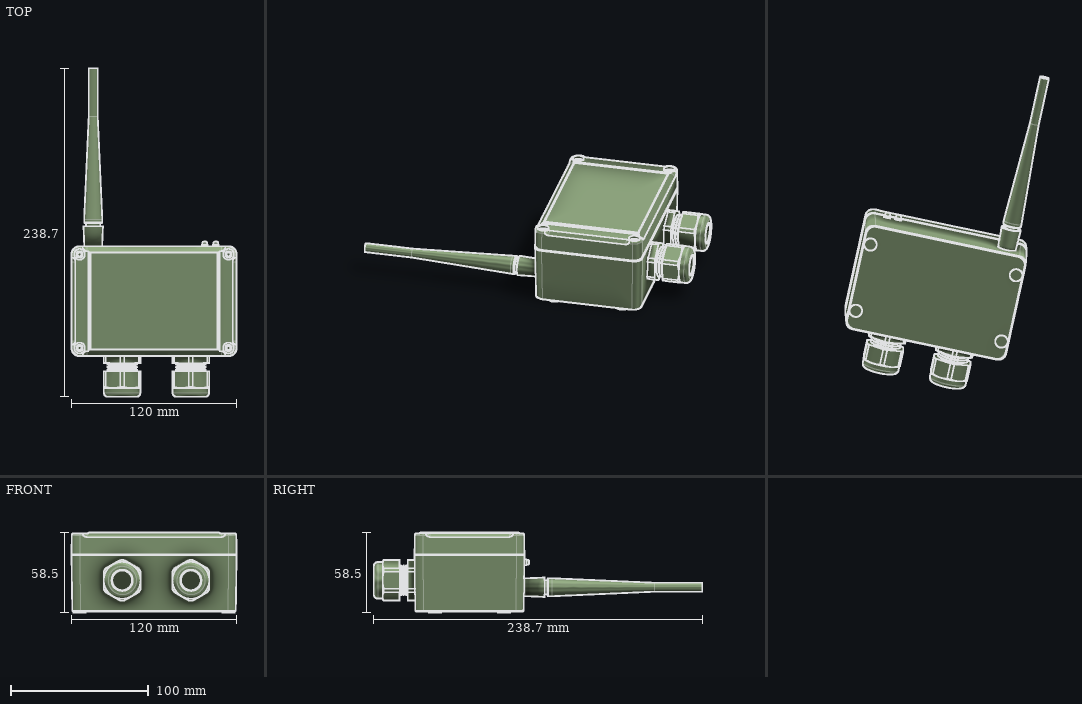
import cadquery as cq
import math

box_x = 120.0
box_y = 80.0
corner_radius = 6.0
draft_angle = 0.85
draft = math.tan(math.radians(draft_angle))

total_height = 58.5
foot_height = 1.0
joint_z = 42.5
shoulder_z = 57.8
joint_groove_height = 0.7
joint_groove_depth = 0.35
bottom_chamfer = 0.7
top_edge_fillet = 1.5

foot_diameter = 9.0
foot_inset_x = 6.0
foot_inset_y = 14.8

bevel_foot_z = 55.0
long_bevel_inset = 4.5
side_bevel_inset = 2.98
bevel_end_inset = 7.5
bevel_end_radius = 3.8

panel_inset_x = 12.2
panel_edge_slant = 0.7
label_inset_x = 14.0
label_inset_y = 5.0
label_depth = 0.35

screw_inset = 6.0
screw_well_steps = ((7.9, 2.5), (4.8, 3.5), (2.9, 4.8))

seat_depth = 1.5

gland_z = 23.6
gland_xs = (-23.2, 26.7)
gland_flats = 27.0
gland_corner_diameter = 29.5
flange_end = 5.0
nut_start = 10.7
nut_end = 23.2
gland_length = 29.5
nut_chamfer = 0.84
dome_diameter = 26.7
dome_fillet = 3.0
thread_core_diameter = 18.1
thread_diameter = 22.0
thread_count = 3
bore_diameter = 14.3
bore_chamfer = 0.6

antenna_x = -44.2
antenna_z = 18.5
total_length = 238.7
antenna_length = total_length - box_y - gland_length
whip_diameter = 6.7
whip_length = 34.8
cone_diameter = 13.4
collar_height = 3.0
collar_chamfer = 0.7
neck_diameter = 10.5
neck_height = 2.0
barrel_height = 14.5
barrel_root_diameter = 13.1
barrel_diameter = 14.3

led_z = 36.8
led_xs = (36.8, 44.9)
led_flange_diameter = 4.5
led_flange_height = 1.07
led_dome_diameter = 3.8
led_height = 3.3
led_dome_fillet = 1.5

half_x = box_x / 2
half_y = box_y / 2


def rounded_outline(inset):
    outline = cq.Sketch().rect(box_x - 2 * inset, box_y - 2 * inset)
    return outline.vertices().fillet(corner_radius)


def drafted_block(z_bottom, z_top, inset_bottom, inset_top):
    """Rounded block whose four walls lean evenly between the two levels."""
    rise = cq.Location(cq.Vector(0, 0, z_top - z_bottom))
    plane = cq.Workplane("XY", origin=(0, 0, z_bottom))
    return plane.placeSketch(rounded_outline(inset_bottom), rounded_outline(inset_top).moved(rise)).loft()


def mirrored_points(x, y):
    return [(sx * x, sy * y) for sx in (-1, 1) for sy in (-1, 1)]


def turned(profile):
    """Solid of revolution about +Y from (radius, distance) points."""
    return cq.Workplane("XY").polyline(profile).close().revolve(360, (0, 0, 0), (0, 1, 0))


def make_base():
    rim_z = joint_z - joint_groove_height
    wall_start_z = foot_height + bottom_chamfer
    wall_inset = draft * (rim_z - wall_start_z)
    floor = drafted_block(foot_height, wall_start_z, wall_inset + bottom_chamfer, wall_inset)
    body = drafted_block(wall_start_z, rim_z, wall_inset, 0)
    rim = drafted_block(rim_z, joint_z, joint_groove_depth, joint_groove_depth)
    feet = (
        cq.Workplane("XY")
        .pushPoints(mirrored_points(half_x - foot_inset_x, half_y - foot_inset_y))
        .circle(foot_diameter / 2)
        .extrude(foot_height)
    )
    return body.union(floor).union(rim).union(feet)


def bevel_cutter(half_depth, half_length, inset, top_z):
    """Wedge that bevels the -Y edge of a lid with the given half sizes, rounded at its ends."""
    slope = (top_z - bevel_foot_z) / inset
    overrun = inset
    outer_y = -half_depth - overrun
    inner_y = -half_depth + inset + overrun
    low_z = bevel_foot_z - slope * overrun
    high_z = top_z + slope * overrun
    run = half_length - bevel_end_inset
    wedge = (
        cq.Workplane("YZ")
        .polyline([(outer_y, low_z), (inner_y, high_z), (outer_y, high_z)])
        .close()
        .extrude(run, both=True)
    )
    along_slope = cq.selectors.ParallelDirSelector(cq.Vector(0, 1, slope))
    return wedge.edges(along_slope).fillet(bevel_end_radius)


def make_panel():
    """Raised label panel across the lid, with slanted left and right edges; the bevels trim its long sides."""
    foot_x = half_x - panel_inset_x
    top_x = foot_x - panel_edge_slant
    outline = [(-foot_x, shoulder_z), (foot_x, shoulder_z), (top_x, total_height), (-top_x, total_height)]
    return cq.Workplane("XZ").polyline(outline).close().extrude(half_y, both=True)


def make_screw_well():
    """Stepped round well, its mouth at Z = 0."""
    mouth = cq.Workplane("XY")
    steps = [mouth.circle(diameter / 2).extrude(-depth) for diameter, depth in screw_well_steps]
    well = steps[0]
    for step in steps[1:]:
        well = well.union(step)
    return well


def make_lid():
    lid = drafted_block(joint_z, shoulder_z, 0, draft * (shoulder_z - joint_z))
    lid = lid.faces(">Z").edges().fillet(top_edge_fillet)
    lid = lid.union(make_panel())

    long_bevel = bevel_cutter(half_y, half_x, long_bevel_inset, total_height)
    side_bevel = bevel_cutter(half_x, half_y, side_bevel_inset, shoulder_z)
    side_bevel = side_bevel.rotate((0, 0, 0), (0, 0, 1), 90)
    for bevel in (long_bevel, side_bevel):
        lid = lid.cut(bevel)
        lid = lid.cut(bevel.rotate((0, 0, 0), (0, 0, 1), 180))

    label_size = (box_x - 2 * label_inset_x, box_y - 2 * label_inset_y)
    label = cq.Workplane("XY", origin=(0, 0, total_height)).rect(*label_size).extrude(-label_depth)
    lid = lid.cut(label)

    screw_well = make_screw_well()
    for x, y in mirrored_points(half_x - screw_inset, half_y - screw_inset):
        lid = lid.cut(screw_well.translate((x, y, shoulder_z)))
    return lid


def hexagon(start, end):
    """Hexagonal prism along +Y with flats facing left and right and its corners turned off."""
    across_corners = gland_flats / math.cos(math.radians(30))
    plane = cq.Workplane("XZ", origin=(0, start, 0))
    prism = plane.transformed(rotate=(0, 0, 90)).polygon(6, across_corners).extrude(start - end)
    turned_corners = plane.circle(gland_corner_diameter / 2).extrude(start - end)
    return prism.intersect(turned_corners)


def make_gland():
    """Gland along +Y, its seat below zero; the free end is at gland_length."""
    flange = hexagon(-seat_depth, flange_end)

    nut_radius = gland_corner_diameter / 2
    nut_envelope = turned([
        (0, nut_start),
        (nut_radius, nut_start),
        (nut_radius, nut_end - nut_chamfer),
        (dome_diameter / 2, nut_end),
        (0, nut_end),
    ])
    nut = hexagon(nut_start, nut_end).intersect(nut_envelope)

    core_radius = thread_core_diameter / 2
    pitch = (nut_start - flange_end) / thread_count
    thread_profile = [(0, flange_end), (core_radius, flange_end)]
    for i in range(thread_count):
        root = flange_end + i * pitch
        thread_profile.append((thread_diameter / 2, root + pitch / 2))
        thread_profile.append((core_radius, root + pitch))
    thread_profile.append((0, nut_start))
    thread = turned(thread_profile)

    dome = cq.Workplane("XZ", origin=(0, nut_end, 0)).circle(dome_diameter / 2).extrude(nut_end - gland_length)
    dome = dome.faces(">Y").edges().fillet(dome_fillet)

    bore_radius = bore_diameter / 2
    bore = turned([
        (0, -seat_depth),
        (bore_radius, -seat_depth),
        (bore_radius, gland_length - bore_chamfer),
        (bore_radius + bore_chamfer, gland_length),
        (0, gland_length),
    ])
    return flange.union(thread).union(nut).union(dome).cut(bore)


def make_antenna():
    whip_start = antenna_length - whip_length
    neck_end = barrel_height + neck_height
    return turned([
        (0, -seat_depth),
        (barrel_root_diameter / 2, -seat_depth),
        (barrel_root_diameter / 2, 0),
        (barrel_diameter / 2, barrel_height),
        (neck_diameter / 2, barrel_height),
        (neck_diameter / 2, neck_end),
        (cone_diameter / 2 - collar_chamfer, neck_end),
        (cone_diameter / 2, neck_end + collar_chamfer),
        (cone_diameter / 2, neck_end + collar_height),
        (whip_diameter / 2, whip_start),
        (whip_diameter / 2, antenna_length),
        (0, antenna_length),
    ])


def make_led():
    flange = cq.Workplane("XZ", origin=(0, -seat_depth, 0)).circle(led_flange_diameter / 2)
    flange = flange.extrude(-seat_depth - led_flange_height)
    dome = cq.Workplane("XZ").circle(led_dome_diameter / 2).extrude(-led_height)
    dome = dome.faces(">Y").edges().fillet(led_dome_fillet)
    return flange.union(dome)


glands = []
for x in gland_xs:
    gland = make_gland().rotate((0, 0, 0), (0, 0, 1), 180)
    glands.append(gland.translate((x, -half_y, gland_z)))

antenna = make_antenna().translate((antenna_x, half_y, antenna_z))
leds = [make_led().translate((x, half_y, led_z)) for x in led_xs]

base = make_base()
for x in gland_xs:
    base = base.cut(hexagon(0, seat_depth).translate((x, -half_y, gland_z)))
for fitting in [antenna, *leds]:
    base = base.cut(fitting)

lid = make_lid()
fitting_solids = [fitting.val() for fitting in [*glands, antenna, *leds]]
result = cq.Compound.makeCompound([base.val(), lid.val(), *fitting_solids])